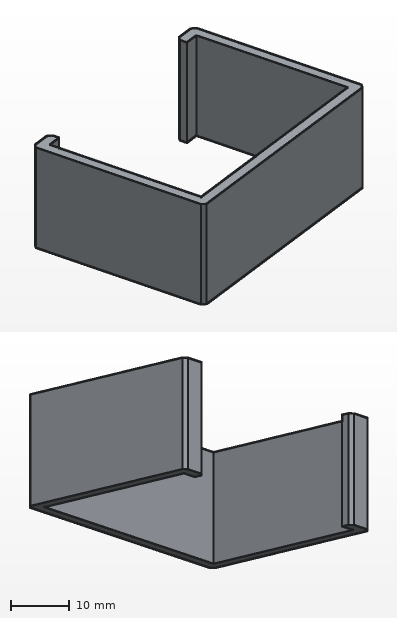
import cadquery as cq

depth = 35.6
width = 49.0
height = 20.0

wall = 2.1
lip_length = 5.0
corner_chamfer = 0.7

half_depth = depth / 2
half_width = width / 2
inner_half_width = half_width - wall
lip_tip = half_width - lip_length
lip_front = -half_depth
lip_back = lip_front + wall
inner_back = half_depth - wall

profile = [
    (lip_front, -half_width),
    (half_depth, -half_width),
    (half_depth, half_width),
    (lip_front, half_width),
    (lip_front, lip_tip),
    (lip_back, lip_tip),
    (lip_back, inner_half_width),
    (inner_back, inner_half_width),
    (inner_back, -inner_half_width),
    (lip_back, -inner_half_width),
    (lip_back, -lip_tip),
    (lip_front, -lip_tip),
]
clip = cq.Workplane("XY").polyline(profile).close().extrude(height)

result = clip.edges("|Z and (<X or >X)").chamfer(corner_chamfer)